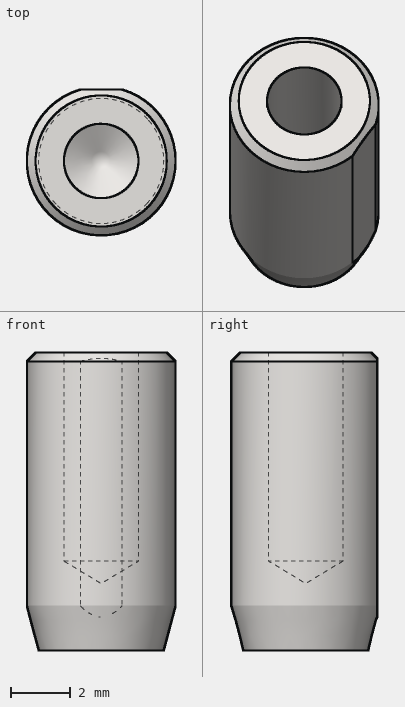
import cadquery as cq
import math

length = 10.0
body_radius = 2.5
top_chamfer = 0.3
taper_height = 1.5
taper_angle = 15.0
flat_offset = 2.4
bore_radius = 1.25
bore_depth = 7.0
drill_point_angle = 118.0

bottom_radius = body_radius - taper_height * math.tan(math.radians(taper_angle))
top_radius = body_radius - top_chamfer
bore_floor = length - bore_depth
drill_point_height = bore_radius / math.tan(math.radians(drill_point_angle / 2))


def revolve_profile(points):
    """Revolve a closed (radius, height) outline about the Z axis."""
    profile = cq.Workplane("XZ").polyline(points).close()
    return profile.revolve(360, (0, 0, 0), (0, 1, 0))


def make_body():
    """Round pin with a tapered lower end and a chamfered upper end."""
    return revolve_profile([
        (0, 0),
        (bottom_radius, 0),
        (body_radius, taper_height),
        (body_radius, length - top_chamfer),
        (top_radius, length),
        (0, length),
    ])


def make_bore():
    """Blind drilled hole with a conical bottom, open at the top."""
    return revolve_profile([
        (0, bore_floor - drill_point_height),
        (bore_radius, bore_floor),
        (bore_radius, length),
        (0, length),
    ])


def make_flat_cutter():
    """Block that removes everything beyond the flat on the +Y side."""
    block = cq.Workplane("XY").box(2 * body_radius, body_radius, length, centered=(True, False, False))
    return block.translate((0, flat_offset, 0))


result = make_body().cut(make_bore()).cut(make_flat_cutter())